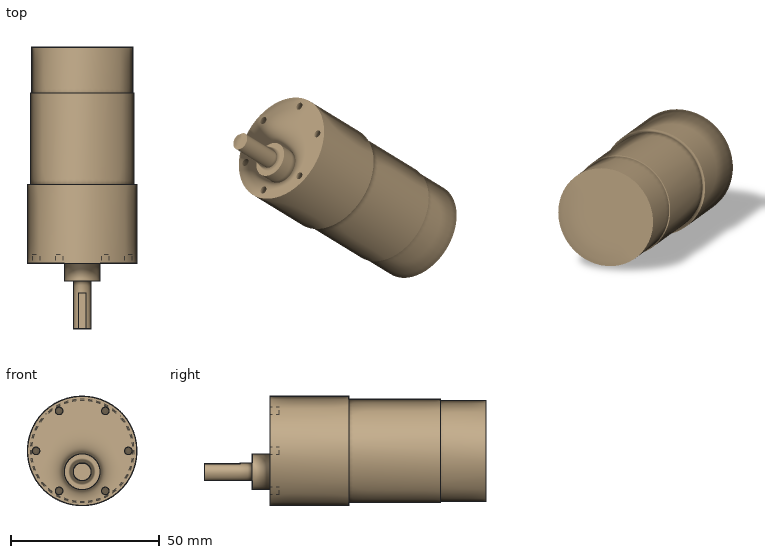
import cadquery as cq
import math


cap_diameter = 34.0
cap_length = 15.4

motor_diameter = 34.8
motor_length = 30.7

gearbox_diameter = 36.8
gearbox_length = 26.5

hole_count = 6
hole_diameter = 2.53
hole_circle_radius = 15.5
hole_depth = 3.0

shaft_offset = 7.0
bushing_diameter = 12.0
bushing_length = 6.0

shaft_diameter = 6.0
shaft_length = 16.0
flat_length = 12.0
flat_depth = 0.3


def cylinder(diameter, front_y, length, center_z=0.0):
    """Cylinder along Y that starts at front_y and runs towards +Y."""
    rear_y = front_y + length
    return (
        cq.Workplane("XZ", origin=(0, rear_y, center_z))
        .circle(diameter / 2)
        .extrude(length)
    )


def make_gearbox():
    """Gearbox housing with a ring of blind screw holes in its front face."""
    gearbox = cylinder(gearbox_diameter, 0, gearbox_length)
    for index in range(hole_count):
        angle = 2 * math.pi * index / hole_count
        hole = cylinder(hole_diameter, 0, hole_depth).translate(
            (hole_circle_radius * math.cos(angle), 0, hole_circle_radius * math.sin(angle))
        )
        gearbox = gearbox.cut(hole)
    return gearbox


def make_motor():
    """Plain motor can behind the gearbox."""
    return cylinder(motor_diameter, gearbox_length, motor_length)


def make_cap():
    """Rear cap behind the motor can."""
    return cylinder(cap_diameter, gearbox_length + motor_length, cap_length)


def make_bushing():
    """Bushing on the gearbox face, in line with the output shaft."""
    return cylinder(bushing_diameter, -bushing_length, bushing_length, -shaft_offset)


def make_shaft():
    """Output shaft on the bushing face, with a flat at its tip."""
    tip_y = -bushing_length - shaft_length
    shaft = cylinder(shaft_diameter, tip_y, shaft_length, -shaft_offset)
    flat_z = -shaft_offset + shaft_diameter / 2 - flat_depth
    flat_cutter = (
        cq.Workplane("XY", origin=(0, tip_y, flat_z))
        .box(shaft_diameter, flat_length, shaft_diameter, centered=(True, False, False))
    )
    return shaft.cut(flat_cutter)


gearbox = make_gearbox()
motor = make_motor()
cap = make_cap()
bushing = make_bushing()
shaft = make_shaft()

result = cq.Compound.makeCompound(
    [gearbox.val(), motor.val(), cap.val(), bushing.val(), shaft.val()]
)